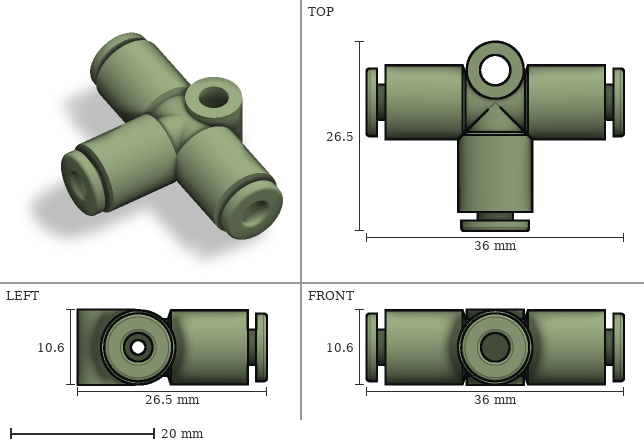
import cadquery as cq

port_reach = 18.0

hub_radius = 4.0
body_radius = 10.4 / 2
shoulder_start = 4.18
shoulder_end = 4.57
body_end = 15.35

neck_radius = 5.0 / 2
collar_radius = 9.5 / 2
collar_thickness = 1.5
collar_start = port_reach - collar_thickness
edge_radius = 0.5

tube_radius = 4.0 / 2
tube_stop = shoulder_end
passage_radius = 2.0 / 2

eye_offset = 4.5
eye_radius = 8.0 / 2
eye_hole_radius = 4.2 / 2
eye_height = 10.6


def along(direction):
    """Workplane at the fitting centre, facing along the given direction."""
    return cq.Workplane(cq.Plane(origin=(0, 0, 0), xDir=(0, 0, 1), normal=direction))


def port_solid(direction):
    """Hub arm, shouldered body, neck and rounded collar of one port."""
    profile = (
        cq.Workplane("XZ")
        .lineTo(hub_radius, 0)
        .lineTo(hub_radius, shoulder_start)
        .lineTo(body_radius, shoulder_end)
        .lineTo(body_radius, body_end)
        .lineTo(neck_radius, body_end)
        .lineTo(neck_radius, collar_start)
        .lineTo(collar_radius, collar_start)
        .lineTo(collar_radius, port_reach - edge_radius)
        .radiusArc((collar_radius - edge_radius, port_reach), -edge_radius)
        .lineTo(0, port_reach)
        .close()
    )
    upright = profile.revolve(360, (0, 0, 0), (0, 1, 0)).val()
    return cq.Workplane(upright.moved(along(direction).plane.location))


def tube_bore(direction):
    """Blind tube bore of one port, with a rounded mouth."""
    profile = (
        cq.Workplane("XZ")
        .moveTo(0, tube_stop)
        .lineTo(tube_radius, tube_stop)
        .lineTo(tube_radius, port_reach - edge_radius)
        .radiusArc((tube_radius + edge_radius, port_reach), edge_radius)
        .lineTo(0, port_reach)
        .close()
    )
    upright = profile.revolve(360, (0, 0, 0), (0, 1, 0)).val()
    return cq.Workplane(upright.moved(along(direction).plane.location))


def eye_cylinder(radius):
    """Vertical cylinder on the axis of the mounting eye."""
    return (
        cq.Workplane("XY")
        .center(0, eye_offset)
        .circle(radius)
        .extrude(eye_height / 2, both=True)
    )


port_directions = [(-1, 0, 0), (1, 0, 0), (0, -1, 0)]

result = eye_cylinder(eye_radius)
for port_direction in port_directions:
    result = result.union(port_solid(port_direction))

for port_direction in port_directions:
    result = result.cut(tube_bore(port_direction))

passage = along((1, 0, 0)).circle(passage_radius).extrude(port_reach, both=True)
result = result.cut(passage)
result = result.cut(eye_cylinder(eye_hole_radius))